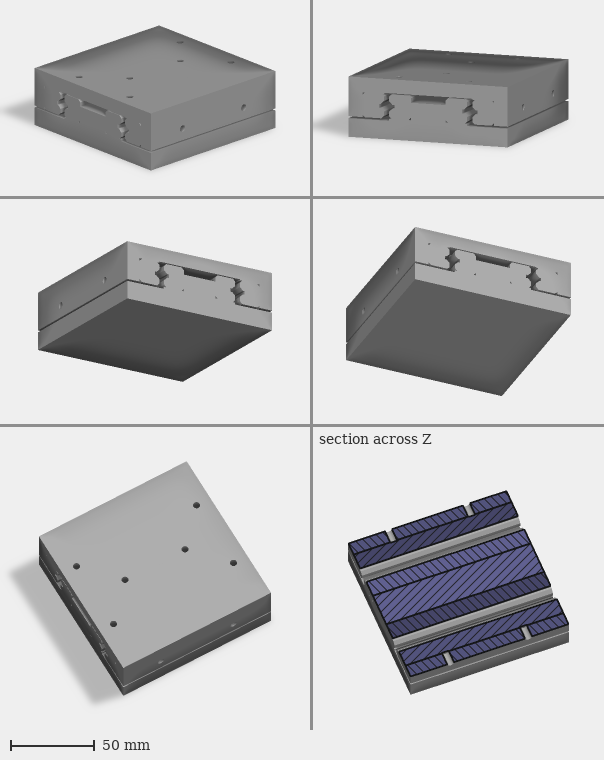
import cadquery as cq

SIDE = 101.6
HEIGHT = 36.6

RAIL_WIDTH = 13.8
RAIL_HEIGHT = 14.9
RAIL_CHAMFER = 1.5
RAIL_BOTTOM = 12.5
RAIL_TOP = RAIL_BOTTOM + RAIL_HEIGHT
RAIL_MID = RAIL_BOTTOM + RAIL_HEIGHT / 2
OUTER_RAIL_BACK = 42.1
INNER_RAIL_BACK = 11.1
INNER_RAIL_FACE = INNER_RAIL_BACK + RAIL_WIDTH

V_HALF_OPENING = 3.1
SLOT_HALF_HEIGHT = 1.1
V_DEPTH = V_HALF_OPENING - SLOT_HALF_HEIGHT
GROOVE_DEPTH = 3.3

BASE_TOP = 11.3
PAD_TOP = 23.2

SKIRT_BOTTOM = RAIL_BOTTOM
RELIEF_TOP = 28.0
RELIEF_HALF_WIDTH = 28.3

HOLE_DIAMETER = 4.2
CORNER_HOLE_X = 22.3
CORNER_HOLE_Y = 41.2
CENTRE_HOLE_Y = 20.6
SIDE_HOLE_Y = 25.0


def block(half_width, bottom, top):
    """Full-length block centred on X = 0 and Y = 0."""
    return cq.Workplane("XY").box(
        2 * half_width, SIDE, top - bottom, centered=(True, True, False)
    ).translate((0, 0, bottom))


def make_base():
    """Plate with a low ridge under the inner rails and a raised pad between them."""
    plate = block(SIDE / 2, 0, BASE_TOP)
    ridge = block(INNER_RAIL_FACE, BASE_TOP, RAIL_BOTTOM)
    pad = block(INNER_RAIL_BACK, RAIL_BOTTOM, PAD_TOP)
    return plate.union(ridge).union(pad)


def make_carriage():
    """Inverted channel that holds the outer rails, with mounting and side holes."""
    body = block(SIDE / 2, SKIRT_BOTTOM, HEIGHT)
    body = body.cut(block(OUTER_RAIL_BACK, SKIRT_BOTTOM, RAIL_TOP))
    body = body.cut(block(RELIEF_HALF_WIDTH, RAIL_TOP, RELIEF_TOP))

    mounting_points = [(0, y) for y in (-CENTRE_HOLE_Y, CENTRE_HOLE_Y)]
    for x in (-CORNER_HOLE_X, CORNER_HOLE_X):
        for y in (-CORNER_HOLE_Y, CORNER_HOLE_Y):
            mounting_points.append((x, y))
    mounting_holes = (
        cq.Workplane("XY", origin=(0, 0, RAIL_TOP))
        .pushPoints(mounting_points)
        .circle(HOLE_DIAMETER / 2)
        .extrude(HEIGHT - RAIL_TOP)
    )

    side_holes = (
        cq.Workplane("YZ", origin=(-SIDE / 2, 0, RAIL_MID))
        .pushPoints([(y, 0) for y in (-SIDE_HOLE_Y, SIDE_HOLE_Y)])
        .circle(HOLE_DIAMETER / 2)
        .extrude(SIDE)
    )
    return body.cut(mounting_holes).cut(side_holes)


def make_rail(back_x, direction):
    """Rail with its plain back at back_x and its groove facing direction (+1 or -1) along X."""
    bar = (
        cq.Workplane("XY")
        .box(RAIL_WIDTH, SIDE, RAIL_HEIGHT)
        .edges("|Y")
        .chamfer(RAIL_CHAMFER)
    )
    face = direction * RAIL_WIDTH / 2
    v_root = face - direction * V_DEPTH
    slot_floor = face - direction * GROOVE_DEPTH
    groove = (
        cq.Workplane("XZ")
        .polyline([
            (face, V_HALF_OPENING),
            (v_root, SLOT_HALF_HEIGHT),
            (slot_floor, SLOT_HALF_HEIGHT),
            (slot_floor, -SLOT_HALF_HEIGHT),
            (v_root, -SLOT_HALF_HEIGHT),
            (face, -V_HALF_OPENING),
        ])
        .close()
        .extrude(SIDE / 2, both=True)
    )
    centre_x = back_x + face
    return bar.cut(groove).translate((centre_x, 0, RAIL_MID))


base = make_base()
carriage = make_carriage()

rails = []
for side in (-1, 1):
    rails.append(make_rail(side * OUTER_RAIL_BACK, -side))
    rails.append(make_rail(side * INNER_RAIL_BACK, side))

result = cq.Compound.makeCompound(
    [base.val(), carriage.val(), *[rail.val() for rail in rails]]
)